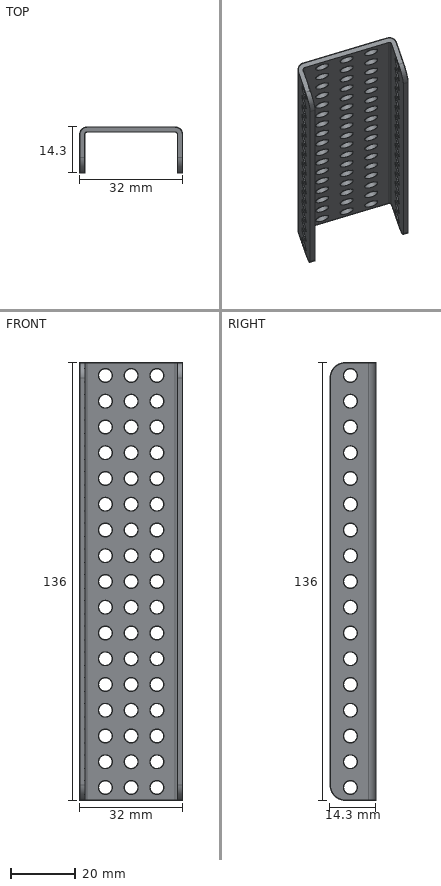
import cadquery as cq

width = 32.0
depth = 14.3
length = 136.0

thickness = 1.6
inner_bend_radius = 0.74
outer_bend_radius = inner_bend_radius + thickness
flange_corner_radius = 4.8

hole_diameter = 4.2
hole_pitch = 8.0
hole_rows = 17
web_columns = 3
flange_hole_from_web = 8.0

web_face_y = depth / 2
row_heights = [(row - (hole_rows - 1) / 2) * hole_pitch for row in range(hole_rows)]


def channel():
    """U-shaped folded sheet, open toward -Y, standing along Z."""
    outer = (
        cq.Workplane("XY")
        .box(width, depth, length)
        .edges("|Z and >Y")
        .fillet(outer_bend_radius)
    )
    inner = (
        cq.Workplane("XY")
        .box(width - 2 * thickness, depth, length)
        .edges("|Z and >Y")
        .fillet(inner_bend_radius)
        .translate((0, -thickness, 0))
    )
    return outer.cut(inner)


def round_flange_corners(body):
    """Round the free corners at both ends of each flange."""
    return body.faces("<Y").edges("|X").fillet(flange_corner_radius)


def web_holes():
    """Cutters for the grid of holes through the web."""
    columns = [(column - (web_columns - 1) / 2) * hole_pitch for column in range(web_columns)]
    return (
        cq.Workplane("XZ", origin=(0, web_face_y, 0))
        .pushPoints([(x, z) for x in columns for z in row_heights])
        .circle(hole_diameter / 2)
        .extrude(thickness)
    )


def flange_holes():
    """Cutters for the row of holes running through both flanges."""
    hole_y = web_face_y - flange_hole_from_web
    return (
        cq.Workplane("YZ")
        .pushPoints([(hole_y, z) for z in row_heights])
        .circle(hole_diameter / 2)
        .extrude(width / 2, both=True)
    )


result = round_flange_corners(channel()).cut(web_holes()).cut(flange_holes())